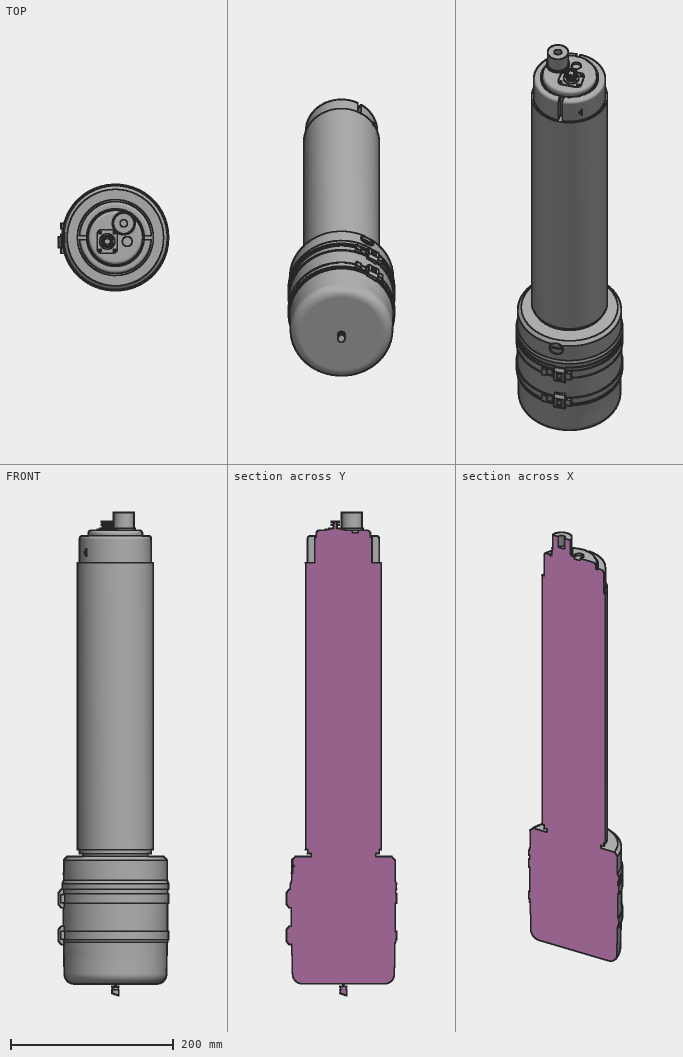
import cadquery as cq
import math

TOTAL_HEIGHT = 594.28
DRAIN_TOP = 12.0
BELL_BOTTOM = 14.4
BELL_TOP = 171.3
COLLAR_BOTTOM = 174.7
TUBE_BOTTOM = 179.7
TUBE_TOP = 532.5
CAP_TOP = 565.5
DISH_TOP = 572.5

NECK_RADIUS = 80 / 2
COLLAR_RADIUS = 88.5 / 2
TUBE_RADIUS = 93.4 / 2
CAP_RADIUS = 88.5 / 2
CAP_ROUND = 4.0
DISH_RADIUS = 67 / 2
DISH_TOP_RADIUS = 58 / 2
DISH_ROUND = DISH_RADIUS - DISH_TOP_RADIUS
GAP_RADIUS = 70.9 / 2
GAP_DEPTH = 1.5

BELL_RADIUS = 127.6 / 2
BAND_RADIUS = 130.97 / 2
WAIST_RADIUS = 128.5 / 2
BELL_BASE_RADIUS = 126 / 2
BELL_TOP_CHAMFER = 4.5
BASE_ROUND = 12.5
LIP_TOP = 137.8
LIP_TAPER = 4.0
LIP_BOTTOM = 131.0
GROOVE_RADIUS = 129 / 2
UPPER_BAND = (113.5, 125.5)
LOWER_BAND = (69.0, 79.5)
LOWER_LIP_BOTTOM = 65.5

LATCH_REACH = 135.58 - BAND_RADIUS
LATCH_HEIGHT = 23.0
LATCH_TIP_HEIGHT = 14.0
LATCH_WIDTH = 13.5
LATCH_Y = -5.5
LATCH_ROOT = 60.0
LATCH_SHOULDER = BAND_RADIUS + 1.2
LATCH_WINDOW_WIDTH = 5.5
LATCH_WINDOW_HEIGHT = 9.0
LATCH_WINDOW_DEPTH = 1.5
STRAP_HEIGHT = 10.0
STRAP_REACH = 67.0
STRAP_Y = (-19.5, 17.5)
STRAP_GAP_Y = (4.0, 11.0)

PLUG_DIAMETER = 17.53
PLUG_Z = 159.5
PLUG_FACE = 62.4
PLUG_SLOT_WIDTH = 1.0
PLUG_SLOT_DEPTH = 2.0

CAP_SLOT_WIDTH = 5.0
CAP_MARK_ANGLE = 213.0
CAP_MARK_Z = 545.0
CAP_MARK_HEIGHT = 9.0
CAP_MARK_LENGTH = 4.0
CAP_MARK_DEPTH = 0.8

OUTLET_XY = (10.3, 17.5)
OUTLET_DIAMETER = 25.5
OUTLET_FOOT_DIAMETER = 28.0
OUTLET_FOOT_BOTTOM = 568.0
OUTLET_FOOT_HEIGHT = 2.0
OUTLET_BORE = 9.0
OUTLET_BORE_DEPTH = 15.0
VENT_XY = (14.6, -4.8)
VENT_DIAMETER = 12.0
VENT_DEPTH = 3.0
SOCKET_XY = (-10.0, -4.8)
SOCKET_FLANGE = (25.0, 29.0)
SOCKET_FLANGE_CORNER = 6.0
SOCKET_FLANGE_HEIGHT = 1.0
SOCKET_DISC_DIAMETER = 14.15
SOCKET_COLUMN_DIAMETER = 12.0
SOCKET_HEIGHT = 11.0
SOCKET_DISC_HEIGHT = 1.2
SOCKET_DISC_LEVELS = (6.0, 9.8)
SOCKET_NUT_DIAMETER = 18.8
SOCKET_NUT_HEIGHT = 2.0
FLUTE_DIAMETER = 1.5
FLUTE_COUNT = 12
SCREW_DIAMETER = 3.1
SCREW_SPACING = (18.0, 22.0)
PIN_DIAMETER = 2.0
PIN_DEPTH = 2.0
PIN_COUNT = 6
PIN_CIRCLE_RADIUS = 4.6

DRAIN_DIAMETER = 8.89
DRAIN_NECK_DIAMETER = 7.5
DRAIN_STEM_DIAMETER = 2.0
DRAIN_RING_HEIGHT = 1.5
DRAIN_BARB_TOP = 7.5
DRAIN_CUT_RISE = 3.0


def cylinder(x, y, bottom, diameter, height):
    return cq.Workplane("XY", origin=(x, y, bottom)).circle(diameter / 2).extrude(height)


def block(x_range, y_range, z_range):
    (x0, x1), (y0, y1), (z0, z1) = x_range, y_range, z_range
    return cq.Workplane("XY").box(x1 - x0, y1 - y0, z1 - z0, centered=False).translate((x0, y0, z0))


def make_body():
    """Revolve the housing, neck, tube, cap and dish as one profile."""
    round_middle = BASE_ROUND * math.sqrt(0.5)
    base_center = (BELL_BASE_RADIUS - BASE_ROUND, BELL_BOTTOM + BASE_ROUND)
    cap_center = (CAP_RADIUS - CAP_ROUND, CAP_TOP - CAP_ROUND)
    dish_middle = DISH_ROUND * math.sqrt(0.5)
    cap_middle = CAP_ROUND * math.sqrt(0.5)
    lower_bottom, lower_top = LOWER_BAND
    upper_bottom, upper_top = UPPER_BAND
    return (
        cq.Workplane("XZ")
        .moveTo(0, BELL_BOTTOM)
        .lineTo(base_center[0], BELL_BOTTOM)
        .threePointArc(
            (base_center[0] + round_middle, base_center[1] - round_middle),
            (BELL_BASE_RADIUS, base_center[1]),
        )
        .lineTo(BELL_RADIUS, LOWER_LIP_BOTTOM)
        .lineTo(GROOVE_RADIUS, LOWER_LIP_BOTTOM)
        .lineTo(GROOVE_RADIUS, lower_bottom)
        .lineTo(BAND_RADIUS, lower_bottom)
        .lineTo(BAND_RADIUS, lower_top)
        .lineTo(WAIST_RADIUS, lower_top)
        .lineTo(WAIST_RADIUS, upper_bottom)
        .lineTo(BAND_RADIUS, upper_bottom)
        .lineTo(BAND_RADIUS, upper_top)
        .lineTo(GROOVE_RADIUS, upper_top)
        .lineTo(GROOVE_RADIUS, LIP_BOTTOM)
        .lineTo(BAND_RADIUS, LIP_BOTTOM)
        .lineTo(BAND_RADIUS, LIP_TOP)
        .lineTo(BELL_RADIUS, LIP_TOP + LIP_TAPER)
        .lineTo(BELL_RADIUS, BELL_TOP - BELL_TOP_CHAMFER)
        .lineTo(BELL_RADIUS - BELL_TOP_CHAMFER, BELL_TOP)
        .lineTo(NECK_RADIUS, BELL_TOP)
        .lineTo(NECK_RADIUS, COLLAR_BOTTOM)
        .lineTo(COLLAR_RADIUS, COLLAR_BOTTOM)
        .lineTo(COLLAR_RADIUS, TUBE_BOTTOM)
        .lineTo(TUBE_RADIUS, TUBE_BOTTOM)
        .lineTo(TUBE_RADIUS, TUBE_TOP)
        .lineTo(CAP_RADIUS, TUBE_TOP)
        .lineTo(CAP_RADIUS, cap_center[1])
        .threePointArc(
            (cap_center[0] + cap_middle, cap_center[1] + cap_middle),
            (cap_center[0], CAP_TOP),
        )
        .lineTo(GAP_RADIUS, CAP_TOP)
        .lineTo(GAP_RADIUS, CAP_TOP - GAP_DEPTH)
        .lineTo(DISH_RADIUS, CAP_TOP - GAP_DEPTH)
        .lineTo(DISH_RADIUS, DISH_TOP - DISH_ROUND)
        .threePointArc(
            (DISH_TOP_RADIUS + dish_middle, DISH_TOP - DISH_ROUND + dish_middle),
            (DISH_TOP_RADIUS, DISH_TOP),
        )
        .lineTo(0, DISH_TOP)
        .close()
        .revolve(360, (0, 0, 0), (0, 1, 0))
    )


def make_latch(band):
    """Buckle with bevelled ends and a window, over the two ends of its strap."""
    middle = sum(band) / 2
    buckle = (
        cq.Workplane("XZ", origin=(0, LATCH_Y + LATCH_WIDTH / 2, 0))
        .moveTo(-LATCH_ROOT, middle - LATCH_HEIGHT / 2)
        .lineTo(-LATCH_SHOULDER, middle - LATCH_HEIGHT / 2)
        .lineTo(-LATCH_REACH, middle - LATCH_TIP_HEIGHT / 2)
        .lineTo(-LATCH_REACH, middle + LATCH_TIP_HEIGHT / 2)
        .lineTo(-LATCH_SHOULDER, middle + LATCH_HEIGHT / 2)
        .lineTo(-LATCH_ROOT, middle + LATCH_HEIGHT / 2)
        .close()
        .extrude(LATCH_WIDTH)
    )
    window = block(
        (-LATCH_REACH, -LATCH_REACH + LATCH_WINDOW_DEPTH),
        (LATCH_Y - LATCH_WINDOW_WIDTH / 2, LATCH_Y + LATCH_WINDOW_WIDTH / 2),
        (middle - LATCH_WINDOW_HEIGHT / 2, middle + LATCH_WINDOW_HEIGHT / 2),
    )
    strap_z = (middle - STRAP_HEIGHT / 2, middle + STRAP_HEIGHT / 2)
    strap = block((-STRAP_REACH, -LATCH_ROOT), STRAP_Y, strap_z)
    gap = block((-STRAP_REACH, -BAND_RADIUS), STRAP_GAP_Y, strap_z)
    return strap.cut(gap).union(buckle.cut(window))


def make_plug_recess():
    """Round recess in the housing wall whose floor carries a screwdriver slot."""
    recess = (
        cq.Workplane("YZ", origin=(-BAND_RADIUS, 0, PLUG_Z))
        .circle(PLUG_DIAMETER / 2)
        .extrude(BAND_RADIUS - PLUG_FACE)
    )
    slot = block(
        (-BAND_RADIUS, -PLUG_FACE + PLUG_SLOT_DEPTH),
        (-PLUG_DIAMETER / 2, PLUG_DIAMETER / 2),
        (PLUG_Z - PLUG_SLOT_WIDTH / 2, PLUG_Z + PLUG_SLOT_WIDTH / 2),
    )
    return recess.union(slot)


def make_cap_slot(side):
    """Vertical slot along the cap wall, on the +X (1) or -X (-1) side."""
    inner = side * GAP_RADIUS
    outer = side * TUBE_RADIUS
    x_range = (min(inner, outer), max(inner, outer))
    return block(x_range, (-CAP_SLOT_WIDTH / 2, CAP_SLOT_WIDTH / 2), (TUBE_TOP, CAP_TOP))


def make_cap_mark():
    """Shallow triangular arrow mark, one upright edge and one tip, cut into the cap wall."""
    half_length = CAP_MARK_LENGTH / 2
    half_height = CAP_MARK_HEIGHT / 2
    return (
        cq.Workplane("YZ", origin=(CAP_RADIUS - CAP_MARK_DEPTH, 0, CAP_MARK_Z))
        .moveTo(half_length, -half_height)
        .lineTo(half_length, half_height)
        .lineTo(-half_length, 0)
        .close()
        .extrude(TUBE_RADIUS - CAP_RADIUS + CAP_MARK_DEPTH)
        .rotate((0, 0, 0), (0, 0, 1), CAP_MARK_ANGLE)
    )


def make_outlet():
    """Hollow outlet post on a slightly wider foot."""
    outlet = cylinder(*OUTLET_XY, OUTLET_FOOT_BOTTOM, OUTLET_DIAMETER, TOTAL_HEIGHT - OUTLET_FOOT_BOTTOM)
    foot_height = DISH_TOP + OUTLET_FOOT_HEIGHT - OUTLET_FOOT_BOTTOM
    outlet = outlet.union(cylinder(*OUTLET_XY, OUTLET_FOOT_BOTTOM, OUTLET_FOOT_DIAMETER, foot_height))
    bore = cylinder(*OUTLET_XY, TOTAL_HEIGHT - OUTLET_BORE_DEPTH, OUTLET_BORE, OUTLET_BORE_DEPTH)
    return outlet.cut(bore)


def make_socket():
    """Electrical socket: screw flange, fluted column with two discs and a ring of pin holes."""
    x, y = SOCKET_XY
    flange = (
        cq.Workplane("XY", origin=(x, y, DISH_TOP))
        .rect(*SOCKET_FLANGE)
        .extrude(SOCKET_FLANGE_HEIGHT)
        .edges("|Z")
        .fillet(SOCKET_FLANGE_CORNER)
    )
    screw_holes = (
        cq.Workplane("XY", origin=(x, y, DISH_TOP))
        .rect(*SCREW_SPACING, forConstruction=True)
        .vertices()
        .circle(SCREW_DIAMETER / 2)
        .extrude(SOCKET_FLANGE_HEIGHT)
    )
    flutes = (
        cq.Workplane("XY", origin=(x, y, DISH_TOP))
        .polarArray(SOCKET_COLUMN_DIAMETER / 2, 0, 360, FLUTE_COUNT)
        .circle(FLUTE_DIAMETER / 2)
        .extrude(SOCKET_HEIGHT)
    )
    socket = cylinder(x, y, DISH_TOP, SOCKET_COLUMN_DIAMETER, SOCKET_HEIGHT).cut(flutes)
    socket = socket.union(cylinder(x, y, DISH_TOP, SOCKET_NUT_DIAMETER, SOCKET_NUT_HEIGHT))
    for level in SOCKET_DISC_LEVELS:
        socket = socket.union(cylinder(x, y, DISH_TOP + level, SOCKET_DISC_DIAMETER, SOCKET_DISC_HEIGHT))
    pins = (
        cq.Workplane("XY", origin=(x, y, DISH_TOP + SOCKET_HEIGHT - PIN_DEPTH))
        .polarArray(PIN_CIRCLE_RADIUS, 0, 360, PIN_COUNT)
        .circle(PIN_DIAMETER / 2)
        .extrude(PIN_DEPTH)
    )
    return socket.cut(pins).union(flange.cut(screw_holes))


def make_drain():
    """Ringed drain tip with an oblique lower end, hung from a thin stem."""
    stem = cylinder(0, 0, DRAIN_BARB_TOP, DRAIN_STEM_DIAMETER, BELL_BOTTOM - DRAIN_BARB_TOP)
    ring = cylinder(0, 0, DRAIN_TOP - DRAIN_RING_HEIGHT, DRAIN_DIAMETER, DRAIN_RING_HEIGHT)
    neck = cylinder(0, 0, 0, DRAIN_NECK_DIAMETER, DRAIN_TOP)
    barb = cylinder(0, 0, 0, DRAIN_DIAMETER, DRAIN_BARB_TOP)
    radius = DRAIN_DIAMETER / 2
    oblique_cut = (
        cq.Workplane("XZ")
        .moveTo(-radius, 0)
        .lineTo(radius, 0)
        .lineTo(-radius, DRAIN_CUT_RISE)
        .close()
        .extrude(radius, both=True)
    )
    return stem.union(ring).union(neck).union(barb).cut(oblique_cut)


result = make_body().cut(make_plug_recess())
for band in (LOWER_BAND, UPPER_BAND):
    result = result.union(make_latch(band))
for side in (-1, 1):
    result = result.cut(make_cap_slot(side))
result = result.cut(make_cap_mark())
result = result.cut(cylinder(*VENT_XY, DISH_TOP - VENT_DEPTH, VENT_DIAMETER, VENT_DEPTH))
result = result.union(make_outlet()).union(make_socket()).union(make_drain())